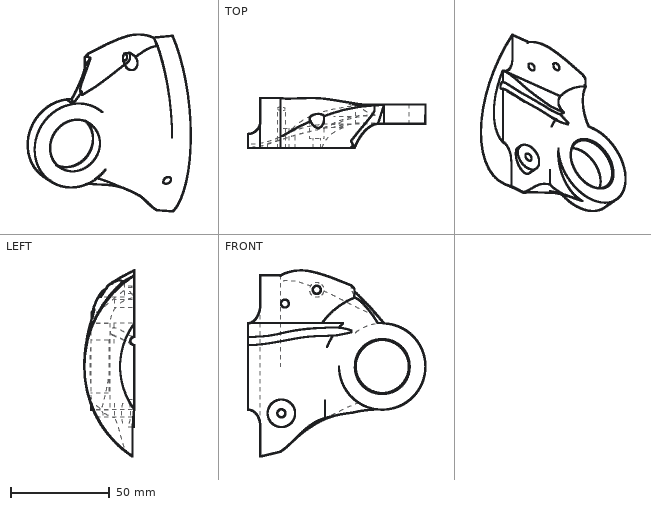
import cadquery as cq
import math


OVERALL_LENGTH = 90.29

RING_RADIUS = 22.0
BORE_DIAMETER = 27.0
BORE_CHAMFER = 0.5
RING_FRONT = 12.3
RING_BACK = 22.2

SHELL_AXIS_Y = -29.5
DOME_RADIUS = 55.0
NECK_RADIUS = math.hypot(RING_RADIUS, SHELL_AXIS_Y)
NECK_FILLET = 6.2
NECK_OVERLAP = 1.0
NECK_END_X = RING_RADIUS - OVERALL_LENGTH
BODY_END_X = NECK_END_X + NECK_FILLET
DOME_END_X = -51.8

BOTTOM_TIP_Z = -45.84
TOP_EDGE_Z = 46.3
PLATE_TIP = (-16.0, 41.4)
PLATE_NOSE = (-14.9, 40.4)
TIP_FOOT = (0.9, RING_RADIUS)

SHOULDER_Y = 10.0
CROWN = [
    (DOME_END_X, TOP_EDGE_Z, 0.55, 0.6),
    (-46.5, 48.35, 0.55, 0.65),
    (-40.5, 48.95, 0.54, 0.8),
    (-31.2, 47.1, 0.46, 0.75),
    (*PLATE_TIP, 0.42, 0.62),
    (-4.0, 36.0, 0.4, 0.55),
]

RIDGE_Y = 16.0
UNDERSIDE = [
    (DOME_END_X, -43.4, 0, 0),
    (-44.6, -37.4, 0.03, 0),
    (-37.0, -31.1, 0.13, 0),
    (-30.0, -27.1, 0.11, 0),
    (-23.6, -24.9, 0, 0.25),
    (-12.0, -23.25, 0, 0.9),
    (2.0, -21.85, 0, 0.9),
]

SIDE_POINTS = [(-14.1, 0, 35.1), (0.9, 22.0, 22.0), (-14.8, 8.5, 40.7)]

SIDE_NOSE = (-18.0, 8.0)

BACK_SECTIONS = [
    (DOME_END_X, DOME_RADIUS + SHELL_AXIS_Y, 57.0, DOME_RADIUS),
    (-42.0, 25.43, 71.0, 55.5),
    (-30.0, 25.25, 86.0, 58.0),
    (-18.5, 23.4, 147.0, 93.0),
    (-9.0, 22.3, 400.0, 400.0),
    (3.0, 22.0, 1500.0, 1500.0),
]

STEP_Z = RING_RADIUS
FLOOR_DEPTH = 10.4
FLOOR_END_X = -25.7
FLOOR_MIDDLE = (-46.4, 5.95)
FLOOR_PATH = [
    (NECK_END_X, 0),
    (BODY_END_X, 0.86),
    FLOOR_MIDDLE,
    (-31.0, 9.8),
    (FLOOR_END_X, FLOOR_DEPTH),
]

COVE_RADIUS = 16.3

WEB_BOTTOM_Z = -26.0
WEB_COVE_RADIUS = 47.0
WEB_COVE_START = 4.0
WEB_FRONT = 17.5

PIN_DIAMETER = 4.0
COUNTERBORE_DIAMETER = 7.4
COUNTERBORE_FLOOR = 5.0
PLATE_HOLE = (-33.3, 39.0)
BLIND_HOLE = (-49.5, 32.0)
BLIND_HOLE_DEPTH = 10.0
BOSS = (-51.3, -23.8)
BOSS_DIAMETER = 14.0
BOSS_FRONT = 0.25

GROOVE_RADIUS = 2.05
GROOVE_START_Z = 13.0
GROOVE_MIDDLE_Z = 15.9
GROOVE_DEPTH = 10.2
GROOVE_END_X = -14.0
GROOVE_END_Z = 17.7

CLEAR = 60.0


def front_plane(y):
    """Sketch plane at the given Y, with local axes X and Z; a negative extrusion goes towards the back."""
    return cq.Workplane("XZ", origin=(0, y, 0))


def cylinder(place, diameter, y_start, y_end):
    return front_plane(y_start).center(*place).circle(diameter / 2).extrude(y_start - y_end)


def back_envelope():
    """Space in front of the back surface: a cylindrical dome lofted into a nearly flat web."""
    half_height = 50.0
    base_y = SHELL_AXIS_Y

    def arc_point(crest, radius, z):
        return crest - radius + math.sqrt(radius**2 - z**2), z

    def section(x, crest, upper_radius, lower_radius):
        return (
            cq.Workplane("YZ", origin=(x, 0, 0))
            .moveTo(base_y, -half_height)
            .lineTo(*arc_point(crest, lower_radius, -half_height))
            .threePointArc(arc_point(crest, lower_radius, -half_height / 2), (crest, 0))
            .threePointArc(
                arc_point(crest, upper_radius, half_height / 2),
                arc_point(crest, upper_radius, half_height),
            )
            .lineTo(base_y, half_height)
            .close()
            .wire()
            .val()
        )

    web = cq.Workplane(cq.Solid.makeLoft([section(*s) for s in BACK_SECTIONS]))
    dome = (
        cq.Workplane("YZ", origin=(BODY_END_X, SHELL_AXIS_Y, 0))
        .circle(DOME_RADIUS)
        .extrude(DOME_END_X - BODY_END_X)
    )
    return web.union(dome)


def edge_section(y, points, clear_z):
    """Region between a curved edge of the body and the level clear_z, at the given Y."""
    return (
        front_plane(y)
        .moveTo(*points[0])
        .spline(points[1:], includeCurrent=True)
        .lineTo(points[-1][0], clear_z)
        .lineTo(points[0][0], clear_z)
        .close()
        .wire()
        .val()
    )


def ruled_solid(first, second):
    return cq.Workplane(cq.Solid.makeLoft([first, second], True))


def crown_cut():
    """Space above the crowned top edge; its lower wall leans inward, more steeply towards the back."""
    rear = 2 * SHOULDER_Y
    front = [(x, z) for x, z, *leans in CROWN]
    shoulder = [(x, z - lean * SHOULDER_Y) for x, z, lean, _ in CROWN]
    back = [(x, z - lean * SHOULDER_Y - rear_lean * rear) for x, z, lean, rear_lean in CROWN]
    levels = [(0, front), (SHOULDER_Y, shoulder), (SHOULDER_Y + rear, back)]
    return cq.Workplane(cq.Solid.makeLoft([edge_section(y, points, CLEAR) for y, points in levels]))


def underside_cut():
    """Space below the underside, which rises in front of its ridge and behind it."""
    depth = RIDGE_Y
    ridge = edge_section(RIDGE_Y, [(x, z) for x, z, *leans in UNDERSIDE], -CLEAR)
    front = edge_section(0, [(x, z + lean * depth) for x, z, lean, _ in UNDERSIDE], -CLEAR)
    back = edge_section(2 * depth, [(x, z + lean * depth) for x, z, _, lean in UNDERSIDE], -CLEAR)
    return ruled_solid(front, ridge).union(ruled_solid(ridge, back))


def side_cut():
    """Space outside the slanted side plane, kept clear of the flat end of the plate."""
    size = 2 * CLEAR
    first, second, third = [cq.Vector(*p) for p in SIDE_POINTS]
    normal = (second - first).cross(third - first)
    side_plane = cq.Plane(first, second - first, normal)
    outside = cq.Workplane(side_plane).rect(size, size).extrude(CLEAR)
    keep = (
        cq.Workplane("XY", origin=(0, 0, RING_RADIUS))
        .moveTo(first.x, 0)
        .lineTo(*SIDE_NOSE)
        .lineTo(SIDE_NOSE[0], CLEAR)
        .lineTo(CLEAR, CLEAR)
        .lineTo(CLEAR, 0)
        .close()
        .extrude(CLEAR)
    )
    return outside.intersect(keep)


def body():
    """Prism of the outline under the back surface, trimmed along its top, underside and slanted side."""
    outline = (
        front_plane(0)
        .moveTo(BODY_END_X, BOTTOM_TIP_Z)
        .lineTo(BODY_END_X, CLEAR)
        .lineTo(PLATE_TIP[0], CLEAR)
        .lineTo(*PLATE_TIP)
        .lineTo(*PLATE_NOSE)
        .lineTo(*TIP_FOOT)
        .lineTo(0, -RING_RADIUS)
        .lineTo(0, -CLEAR)
        .lineTo(DOME_END_X, -CLEAR)
        .lineTo(*UNDERSIDE[0][:2])
        .close()
    )
    solid = outline.extrude(-CLEAR).intersect(back_envelope())
    return solid.cut(crown_cut()).cut(underside_cut()).cut(side_cut())


def neck():
    """Stepped end with its concave fillet, turned about the shell axis and trimmed at Y = 0."""
    inner_x = BODY_END_X + NECK_OVERLAP
    turned = (
        cq.Workplane("XY", origin=(0, SHELL_AXIS_Y, 0))
        .moveTo(inner_x, 0)
        .lineTo(NECK_END_X, 0)
        .lineTo(NECK_END_X, NECK_RADIUS)
        .radiusArc((BODY_END_X, NECK_RADIUS + NECK_FILLET), -NECK_FILLET)
        .lineTo(inner_x, NECK_RADIUS + NECK_FILLET)
        .close()
        .revolve(360, (0, 0, 0), (1, 0, 0))
    )
    behind = cq.Workplane("XY").box(4 * CLEAR, CLEAR, 2 * CLEAR, centered=(True, False, True))
    return turned.intersect(behind)


def floor_cut():
    """Space in front of the sloping floor, below the plate step."""
    return (
        cq.Workplane("XY", origin=(0, 0, STEP_Z))
        .moveTo(*FLOOR_PATH[0])
        .spline(FLOOR_PATH[1:], tangents=[(1, 0), (1, 0)], includeCurrent=True)
        .lineTo(CLEAR, FLOOR_DEPTH)
        .lineTo(CLEAR, -CLEAR)
        .lineTo(NECK_END_X, -CLEAR)
        .close()
        .extrude(-2 * CLEAR)
    )


def cove_profile(z, start, depth, radius, inner_x):
    """Section of the concave fillet: flat from inner_x to the start distance, then an arc to Y = 0."""
    reach = math.sqrt(radius**2 - (radius - depth) ** 2)
    return (
        cq.Workplane("XY", origin=(0, 0, z))
        .moveTo(inner_x, 0)
        .lineTo(inner_x, depth)
        .lineTo(-start, depth)
        .radiusArc((-start - reach, 0), -radius)
        .close()
    )


def cove_cut():
    """The fillet turns with the ring above its centre and runs straight down below it."""
    turned = cove_profile(0, RING_RADIUS, RING_FRONT, COVE_RADIUS, 0).revolve(360, (0, 0, 0), (0, 1, 0))
    upper = cq.Workplane("XY").box(3 * CLEAR, 3 * CLEAR, CLEAR, centered=(True, True, False))
    top = cove_profile(0, RING_RADIUS, RING_FRONT, COVE_RADIUS, RING_RADIUS)
    bottom = cove_profile(WEB_BOTTOM_Z, WEB_COVE_START, WEB_FRONT, WEB_COVE_RADIUS, RING_RADIUS)
    straight = ruled_solid(top.wire().val(), bottom.wire().val())
    return turned.intersect(upper).union(straight)


def groove_cut():
    """Wire groove that follows the sloping floor, then runs straight out into the concave fillet."""
    path = cq.Workplane("XY").spline(
        [
            (NECK_END_X, 0, GROOVE_START_Z),
            (*FLOOR_MIDDLE, GROOVE_MIDDLE_Z),
            (FLOOR_END_X, GROOVE_DEPTH, GROOVE_END_Z),
        ],
        tangents=[(1, 0, 0), (1, 0, 0)],
    )
    start = cq.Workplane("YZ", origin=(NECK_END_X, 0, GROOVE_START_Z))
    curved = start.circle(GROOVE_RADIUS).sweep(path)
    straight = (
        cq.Workplane("YZ", origin=(FLOOR_END_X, GROOVE_DEPTH, GROOVE_END_Z))
        .circle(GROOVE_RADIUS)
        .extrude(GROOVE_END_X - FLOOR_END_X)
    )
    return curved.union(straight)


def ring():
    return cylinder((0, 0), 2 * RING_RADIUS, RING_FRONT, RING_BACK)


def bore_cut():
    bore = cylinder((0, 0), BORE_DIAMETER, 0, CLEAR)
    radius = BORE_DIAMETER / 2
    cone = cq.Solid.makeCone(
        radius + BORE_CHAMFER,
        radius,
        BORE_CHAMFER,
        cq.Vector(0, RING_FRONT, 0),
        cq.Vector(0, 1, 0),
    )
    return bore.union(cq.Workplane(cone))


def fastener_cuts():
    through = cylinder(PLATE_HOLE, PIN_DIAMETER, 0, CLEAR)
    counterbore = cylinder(PLATE_HOLE, COUNTERBORE_DIAMETER, COUNTERBORE_FLOOR, CLEAR)
    blind = cylinder(BLIND_HOLE, PIN_DIAMETER, 0, BLIND_HOLE_DEPTH)
    boss_hole = cylinder(BOSS, PIN_DIAMETER, 0, CLEAR)
    return through.union(counterbore).union(blind).union(boss_hole)


shell = body().union(neck()).cut(floor_cut()).cut(cove_cut()).cut(groove_cut())
boss = cylinder(BOSS, BOSS_DIAMETER, BOSS_FRONT, FLOOR_DEPTH)
result = shell.union(ring()).union(boss).cut(bore_cut()).cut(fastener_cuts())